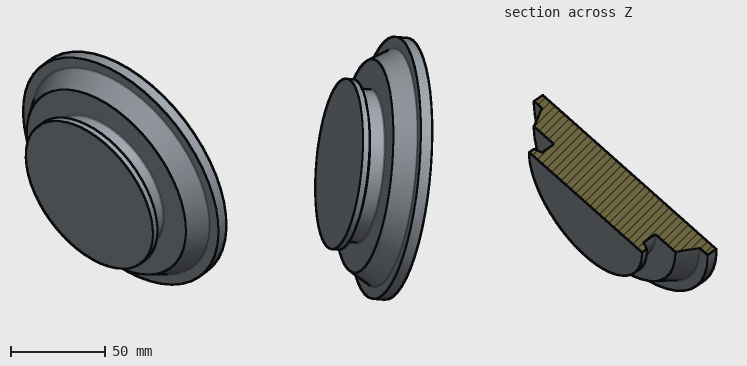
import math

import cadquery as cq

total_length = 31.24
flange_thickness = 6.35
cone_length = 11.43
lip_rim_thickness = 3.6

flange_radius = 139.7 / 2
cone_base_radius = 127.0 / 2
neck_radius = 81.8 / 2
lip_radius = 90.9 / 2

cone_half_angle = 30.0
lip_taper_angle = 20.0
root_fillet_radius = 0.5
edge_match_tolerance = 0.01

flange_front_y = -flange_thickness
cone_front_y = flange_front_y - cone_length
lip_front_y = -total_length
lip_rim_back_y = lip_front_y + lip_rim_thickness
lip_taper_length = (lip_radius - neck_radius) * math.tan(math.radians(lip_taper_angle))
neck_front_y = lip_rim_back_y + lip_taper_length
cone_tip_radius = cone_base_radius - cone_length * math.tan(math.radians(cone_half_angle))


def make_body():
    """Revolve flange, tapered hub, neck and clamp lip about Y, starting the profile on the +Z side."""
    half_profile = (
        cq.Workplane("YZ")
        .moveTo(0, 0)
        .lineTo(0, flange_radius)
        .lineTo(flange_front_y, flange_radius)
        .lineTo(flange_front_y, cone_base_radius)
        .lineTo(cone_front_y, cone_tip_radius)
        .lineTo(cone_front_y, neck_radius)
        .lineTo(neck_front_y, neck_radius)
        .lineTo(lip_rim_back_y, lip_radius)
        .lineTo(lip_front_y, lip_radius)
        .lineTo(lip_front_y, 0)
        .close()
    )
    return half_profile.revolve(360, (0, 0, 0), (1, 0, 0))


def find_circle(body, radius, y):
    """Circular edge about the Y axis with the given radius and Y position."""
    for edge in body.edges("%CIRCLE").vals():
        same_radius = abs(edge.radius() - radius) < edge_match_tolerance
        same_y = abs(edge.arcCenter().y - y) < edge_match_tolerance
        if same_radius and same_y:
            return edge
    raise ValueError("no matching circular edge")


def fillet_roots(body):
    """Round the inside corners at the foot of the cone and of the neck."""
    cone_root = find_circle(body, cone_base_radius, flange_front_y)
    neck_root = find_circle(body, neck_radius, cone_front_y)
    return body.newObject([cone_root, neck_root]).fillet(root_fillet_radius)


result = fillet_roots(make_body())